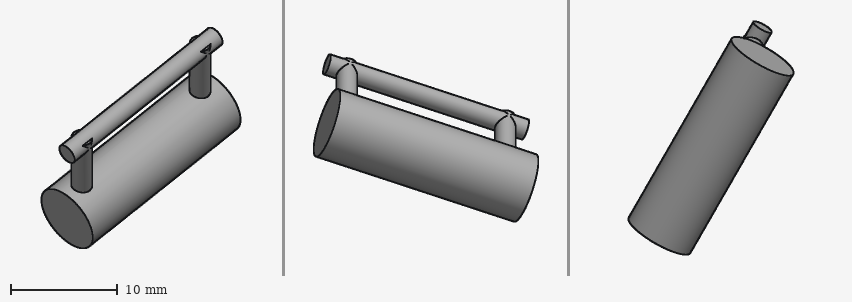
import cadquery as cq

length = 20.0
body_diameter = length / 3
rail_diameter = 2.0
post_diameter = 2.0
rail_gap = 5.0
post_height = 10.0
post_inset = 2.0

rail_height = body_diameter / 2 + rail_gap + rail_diameter / 2
post_offset = length / 2 - post_inset


def rod_along_y(diameter, height):
    """Full-length rod parallel to Y, centred on Y, with its axis at the given Z."""
    end_plane = cq.Workplane("XZ", origin=(0, length / 2, height))
    return end_plane.circle(diameter / 2).extrude(length)


def post(y):
    """Upright pin from the body axis, passing through the rail to just below its crest."""
    return cq.Workplane("XY").center(0, y).circle(post_diameter / 2).extrude(post_height)


body = rod_along_y(body_diameter, 0)
rail = rod_along_y(rail_diameter, rail_height)

result = body.union(rail)
for y in (-post_offset, post_offset):
    result = result.union(post(y))